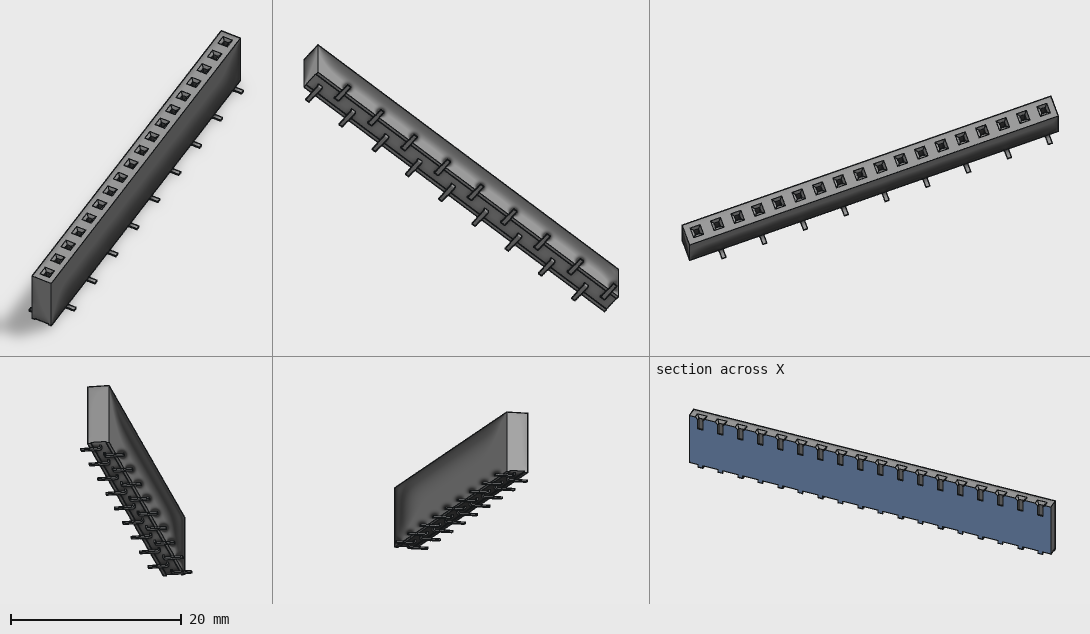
import cadquery as cq
import math

row_length = 45.9
housing_width = 2.55
overall_height = 7.4
housing_bottom = 0.3

channel_width = 1.8
channel_depth = 0.15

contact_count = 18
end_margin = 1.4
contact_pitch = (row_length - 2 * end_margin) / (contact_count - 1)
contact_thickness = 0.2
bend_radius = 0.1
blade_width = 0.6
blade_top = 5.75
tail_width = 0.5
tail_span = 4.65

shoulder_x = housing_width / 2
neck_radius = 0.25
neck_step = (blade_width - tail_width) / 2
neck_length = math.sqrt(neck_radius**2 - (neck_radius - neck_step) ** 2)
neck_x = shoulder_x + neck_length

socket_mouth = 1.25
socket_hole = 0.6
funnel_depth = (socket_mouth - socket_hole) / 2
socket_floor = 3.67


def box_between(x_range, y_range, z_range):
    """Box spanning the given (low, high) ranges along X, Y and Z."""
    return cq.Workplane("XY").box(
        x_range[1] - x_range[0],
        y_range[1] - y_range[0],
        z_range[1] - z_range[0],
        centered=False,
    ).translate((x_range[0], y_range[0], z_range[0]))


def make_housing():
    """Plain block with the underside channel running its full length."""
    half_length = row_length / 2
    half_width = housing_width / 2
    half_channel = channel_width / 2
    y_range = (-half_length, half_length)
    block = box_between((-half_width, half_width), y_range, (housing_bottom, overall_height))
    channel_top = housing_bottom + channel_depth
    channel = box_between((-half_channel, half_channel), y_range, (housing_bottom, channel_top))
    return block.cut(channel)


def make_socket(y):
    """Cutting body for one socket, centred at the given Y."""
    funnel = (
        cq.Workplane("XY", origin=(0, y, overall_height))
        .rect(socket_mouth, socket_mouth)
        .workplane(offset=-funnel_depth)
        .rect(socket_hole, socket_hole)
        .loft(ruled=True)
    )
    half_hole = socket_hole / 2
    hole_top = overall_height - funnel_depth
    hole = box_between((-half_hole, half_hole), (y - half_hole, y + half_hole), (socket_floor, hole_top))
    return funnel.union(hole)


def make_contact(y, side):
    """Bent contact at the given Y; side is +1 for a tail towards +X, -1 towards -X."""
    half_thickness = contact_thickness / 2
    outer_radius = bend_radius + contact_thickness
    strip = (
        cq.Workplane("XZ", origin=(0, y + blade_width / 2, 0))
        .moveTo(-half_thickness, blade_top)
        .lineTo(-half_thickness, outer_radius)
        .radiusArc((-half_thickness + outer_radius, 0), -outer_radius)
        .lineTo(shoulder_x, 0)
        .lineTo(shoulder_x, contact_thickness)
        .lineTo(half_thickness + bend_radius, contact_thickness)
        .radiusArc((half_thickness, outer_radius), bend_radius)
        .lineTo(half_thickness, blade_top)
        .close()
        .extrude(blade_width)
    )
    half_blade = blade_width / 2
    half_tail = tail_width / 2
    tail_tip = tail_span / 2
    tail = (
        cq.Workplane("XY", origin=(0, y, 0))
        .moveTo(shoulder_x, half_blade)
        .radiusArc((neck_x, half_tail), -neck_radius)
        .lineTo(tail_tip, half_tail)
        .lineTo(tail_tip, -half_tail)
        .lineTo(neck_x, -half_tail)
        .radiusArc((shoulder_x, -half_blade), -neck_radius)
        .close()
        .extrude(contact_thickness)
    )
    contact = strip.union(tail)
    if side > 0:
        return contact
    return contact.mirror("YZ")


first_y = row_length / 2 - end_margin
contact_places = [
    (first_y - index * contact_pitch, 1 if index % 2 == 0 else -1)
    for index in range(contact_count)
]

result = make_housing()
for y, _ in contact_places:
    result = result.cut(make_socket(y))
for y, side in contact_places:
    result = result.union(make_contact(y, side))